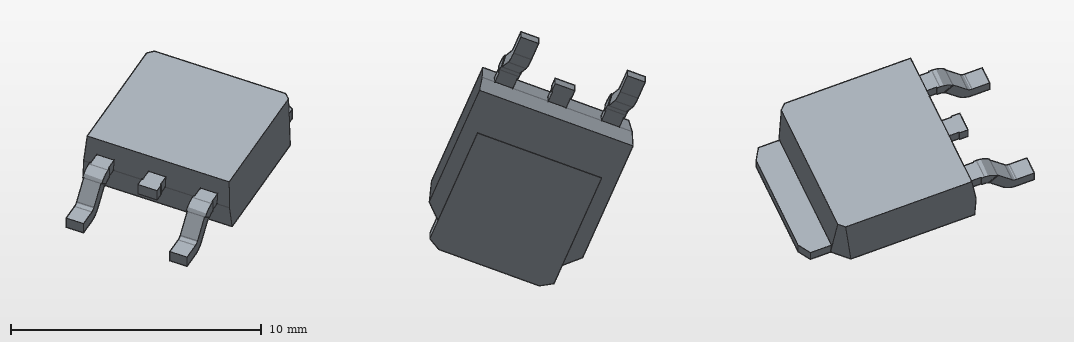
import cadquery as cq
import math


overall_height = 2.36
housing_width = 6.6
housing_top_width = 6.28
housing_bottom_z = 0.06
housing_front_y = 2.75
housing_front_bottom_y = 2.84
housing_front_top_y = 2.9
housing_back_y = 8.82
housing_back_top_y = 8.6
back_corner_chamfer = 0.62

overall_length = 10.0
tab_width = 5.34
tab_bottom_z = 0.03
tab_thickness = 0.51
tab_front_y = 4.62
tab_corner_width = 0.51
tab_corner_length = 0.31

lead_pitch = 2.29
lead_thickness = 0.5
lead_width = 0.77
lead_wide_width = 0.85
lead_drop = 1.12
lead_root_y = 3.0
lead_step_y = 2.3
foot_length = 0.77
bend_inner_radius = 0.25
bend_angle = 50.0
stub_tip_y = 1.92

parting_z = lead_drop


def box(x_size, y_min, y_max, z_min, z_max):
    """Box centred on X = 0."""
    return (
        cq.Workplane("XY", origin=(0, y_min, z_min))
        .box(x_size, y_max - y_min, z_max - z_min, centered=(True, False, False))
    )


def make_housing_blank():
    """Drafted block: the common volume of its side, front and plan outlines."""
    side = (
        cq.Workplane("YZ")
        .polyline([
            (housing_front_bottom_y, housing_bottom_z),
            (housing_front_y, parting_z),
            (housing_front_top_y, overall_height),
            (housing_back_top_y, overall_height),
            (housing_back_y, housing_bottom_z),
        ])
        .close()
        .extrude(housing_width / 2, both=True)
    )
    front = (
        cq.Workplane("XZ")
        .polyline([
            (-housing_width / 2, housing_bottom_z),
            (housing_width / 2, housing_bottom_z),
            (housing_top_width / 2, overall_height),
            (-housing_top_width / 2, overall_height),
        ])
        .close()
        .extrude(-overall_length)
    )
    plan = (
        box(housing_width, housing_front_y, housing_back_y, 0, overall_height)
        .edges("|Z and >Y")
        .chamfer(back_corner_chamfer)
    )
    return side.intersect(front).intersect(plan)


def make_tab():
    half_width = tab_width / 2
    end_half_width = half_width - tab_corner_width
    corner_y = overall_length - tab_corner_length
    return (
        cq.Workplane("XY", origin=(0, 0, tab_bottom_z))
        .polyline([
            (-half_width, tab_front_y),
            (half_width, tab_front_y),
            (half_width, corner_y),
            (end_half_width, overall_length),
            (-end_half_width, overall_length),
            (-half_width, corner_y),
        ])
        .close()
        .extrude(tab_thickness)
    )


def make_stub():
    """Cut-off centre lead with a wide end."""
    top_z = parting_z + lead_thickness
    narrow = box(lead_width, lead_step_y, lead_root_y, parting_z, top_z)
    wide = box(lead_wide_width, stub_tip_y, lead_step_y, parting_z, top_z)
    return narrow.union(wide)


bend_outer_radius = bend_inner_radius + lead_thickness
slope = math.radians(bend_angle)
bend_drop = (bend_inner_radius + bend_outer_radius) * (1 - math.cos(slope))
bend_run = (bend_inner_radius + bend_outer_radius) * math.sin(slope)
ramp_length = (lead_drop - bend_drop) / math.sin(slope)
upper_bend_y = foot_length + bend_run + ramp_length * math.cos(slope)
upper_center = (upper_bend_y, parting_z - bend_inner_radius)
lower_center = (foot_length, bend_outer_radius)


def upper_point(radius, angle):
    """(Y, Z) on the upper bend, turned forward by the angle from its top."""
    return (upper_center[0] - radius * math.sin(angle), upper_center[1] + radius * math.cos(angle))


def lower_point(radius, angle):
    """(Y, Z) on the lower bend, turned backward by the angle from its bottom."""
    return (lower_center[0] + radius * math.sin(angle), lower_center[1] - radius * math.cos(angle))


def make_lead():
    """Gull-wing lead: narrow root, wide upper bend, narrow ramp and foot."""
    root = box(lead_width, lead_step_y, lead_root_y, parting_z, parting_z + lead_thickness)
    wide_bend = (
        cq.Workplane("YZ")
        .moveTo(lead_step_y, parting_z)
        .lineTo(lead_step_y, parting_z + lead_thickness)
        .lineTo(*upper_point(bend_outer_radius, 0))
        .threePointArc(upper_point(bend_outer_radius, slope / 2), upper_point(bend_outer_radius, slope))
        .lineTo(*upper_point(bend_inner_radius, slope))
        .threePointArc(upper_point(bend_inner_radius, slope / 2), upper_point(bend_inner_radius, 0))
        .close()
        .extrude(lead_wide_width / 2, both=True)
    )
    ramp_and_foot = (
        cq.Workplane("YZ")
        .moveTo(*upper_point(bend_outer_radius, slope))
        .lineTo(*lower_point(bend_inner_radius, slope))
        .threePointArc(lower_point(bend_inner_radius, slope / 2), lower_point(bend_inner_radius, 0))
        .lineTo(0, lead_thickness)
        .lineTo(0, 0)
        .lineTo(*lower_point(bend_outer_radius, 0))
        .threePointArc(lower_point(bend_outer_radius, slope / 2), lower_point(bend_outer_radius, slope))
        .lineTo(*upper_point(bend_inner_radius, slope))
        .close()
        .extrude(lead_width / 2, both=True)
    )
    return root.union(wide_bend).union(ramp_and_foot)


tab = make_tab()
stub = make_stub()
leads = [make_lead().translate((side * lead_pitch, 0, 0)) for side in (-1, 1)]

housing = make_housing_blank()
for insert in [tab, stub, *leads]:
    housing = housing.cut(insert)

bodies = [housing, tab, stub, *leads]
result = cq.Compound.makeCompound([body.solids().val() for body in bodies])